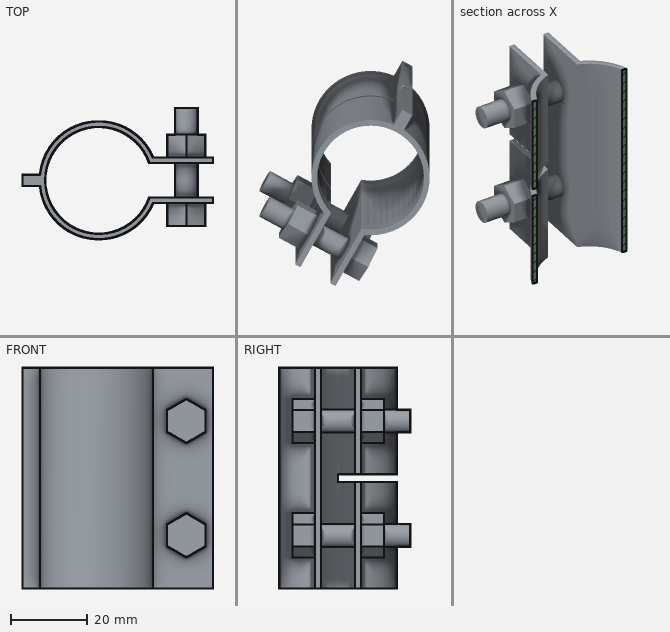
import cadquery as cq

LENGTH = 58.0
INNER_RADIUS = 14.0
WALL = 1.5
OUTER_RADIUS = INNER_RADIUS + WALL

FLANGE_END_X = 30.0
SPLIT_GAP = 9.0
FLANGE_OUTER_Y = SPLIT_GAP / 2 + WALL

RIB_END_X = -20.0
RIB_WIDTH = 3.0

SLOT_HEIGHT = 2.0

BOLT_X = 23.0
BOLT_SPACING = 30.0
BOLT_DIAMETER = 6.0
BOLT_END_Y = 19.0
HEX_ACROSS_CORNERS = 11.6
HEX_HEIGHT = 6.0


def box_between(x_range, y_range, z_range):
    """Box that spans the given (low, high) limits on each axis."""
    limits = (x_range, y_range, z_range)
    sizes = [high - low for low, high in limits]
    corner = tuple(low for low, high in limits)
    return cq.Workplane("XY").box(*sizes, centered=False).translate(corner)


def make_band():
    """Tube with the rib and the two flanges, split open towards +X."""
    half_length = LENGTH / 2
    z_range = (-half_length, half_length)
    tube = cq.Workplane("XY").circle(OUTER_RADIUS).extrude(half_length, both=True)
    rib = box_between((RIB_END_X, 0), (-RIB_WIDTH / 2, RIB_WIDTH / 2), z_range)
    flanges = box_between((0, FLANGE_END_X), (-FLANGE_OUTER_Y, FLANGE_OUTER_Y), z_range)
    bore = cq.Workplane("XY").circle(INNER_RADIUS).extrude(half_length, both=True)
    split = box_between((0, FLANGE_END_X), (-SPLIT_GAP / 2, SPLIT_GAP / 2), z_range)
    return tube.union(rib).union(flanges).cut(bore).cut(split)


def make_slot():
    """Slot from the middle plane out through the +Y half, rib to flange end."""
    return box_between(
        (RIB_END_X, FLANGE_END_X),
        (0, OUTER_RADIUS),
        (-SLOT_HEIGHT / 2, SLOT_HEIGHT / 2),
    )


def make_hexagon(start_y, z):
    """Hexagonal prism along Y from start_y, with corners pointing up and down."""
    return (
        cq.Workplane("XY")
        .polygon(6, HEX_ACROSS_CORNERS)
        .extrude(HEX_HEIGHT)
        .rotate((0, 0, 0), (0, 0, 1), 90)
        .rotate((0, 0, 0), (1, 0, 0), -90)
        .translate((BOLT_X, start_y, z))
    )


def make_bolt(z):
    """Bolt with its head on the -Y flange and its nut on the +Y flange."""
    head = make_hexagon(-FLANGE_OUTER_Y - HEX_HEIGHT, z)
    nut = make_hexagon(FLANGE_OUTER_Y, z)
    shank = (
        cq.Workplane("XZ", origin=(BOLT_X, -FLANGE_OUTER_Y, z))
        .circle(BOLT_DIAMETER / 2)
        .extrude(-(BOLT_END_Y + FLANGE_OUTER_Y))
    )
    return shank.union(head).union(nut)


result = make_band().cut(make_slot())
for bolt_z in (-BOLT_SPACING / 2, BOLT_SPACING / 2):
    result = result.union(make_bolt(bolt_z))